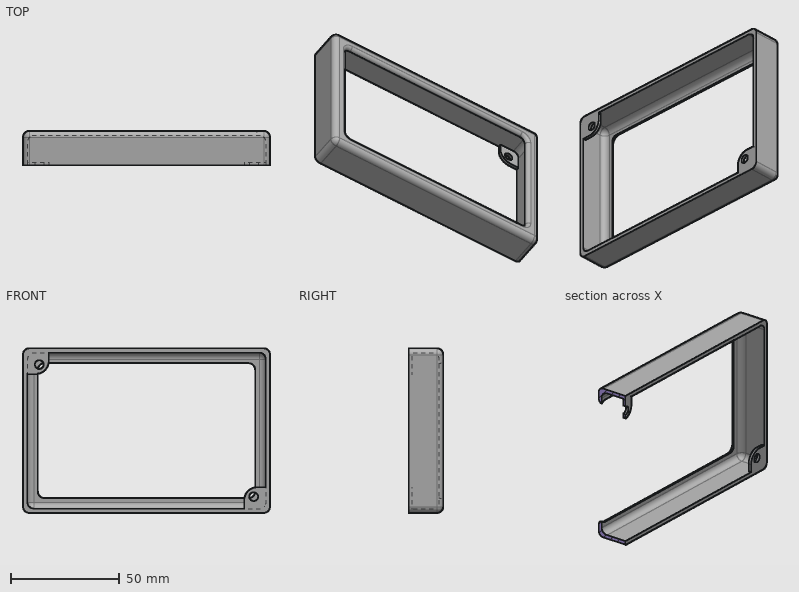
import cadquery as cq

width = 114.0
depth = 16.0
height = 76.0
wall = 2.0
edge_radius = 3.0
window_margin = 7.0
window_back_radius = 1.9

tab_reach = 12.0
hole_inset = 7.5
tab_thickness = 1.5
corner_radius = 6.0
hole_diameter = 4.0

front_y = -depth / 2


def rounded_block(inset, start_y, length):
    """Block inset from the outer sides, with rounded corners, extending toward +Y."""
    return (
        cq.Workplane("XZ", origin=(0, start_y, 0))
        .rect(width - 2 * inset, height - 2 * inset)
        .extrude(-length)
        .edges("|Y")
        .fillet(edge_radius)
    )


def make_frame():
    """Tray with rounded back edges, inside and out, and a window through its floor."""
    shell = rounded_block(0, front_y, depth).faces(">Y").edges().fillet(edge_radius)
    cavity = rounded_block(wall, front_y, depth - wall).faces(">Y").edges().fillet(edge_radius)
    window = rounded_block(window_margin, front_y, depth)
    tray = shell.cut(cavity).cut(window)
    rim = tray.faces(">Y").val().innerWires()[0].Edges()
    return tray.newObject(rim).fillet(window_back_radius)


def make_tab():
    """Upper left corner tab with a rounded free corner and a screw hole."""
    left = -width / 2
    top = height / 2
    tab_width = tab_reach - wall / 2
    tab_middle = wall / 2 + tab_width / 2
    tab = (
        cq.Workplane("XZ", origin=(0, front_y, 0))
        .center(left + tab_middle, top - tab_middle)
        .rect(tab_width, tab_width)
        .extrude(-tab_thickness)
        .edges("|Y and >X and <Z")
        .fillet(corner_radius)
    )
    hole = (
        cq.Workplane("XZ", origin=(0, front_y, 0))
        .center(left + hole_inset, top - hole_inset)
        .circle(hole_diameter / 2)
        .extrude(-tab_thickness)
    )
    return tab.cut(hole)


result = make_frame()
for turn in (0, 180):
    result = result.union(make_tab().rotate((0, 0, 0), (0, 1, 0), turn))